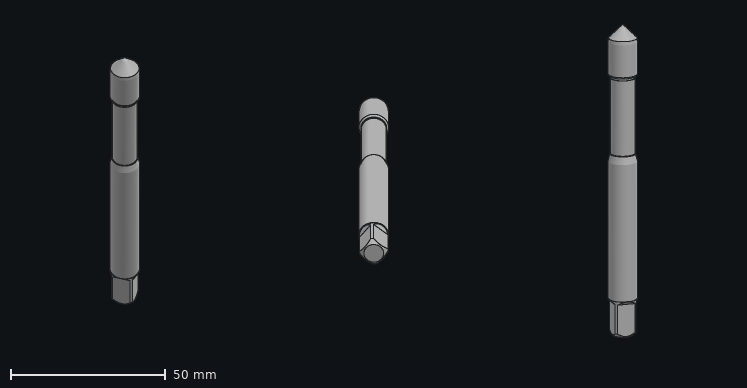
import cadquery as cq

total_length = 104.38
shank_diameter = 9.68

square_width = 7.2
square_corner_diameter = 9.29
square_length = 12.3
flat_length = 11.2
end_chamfer = 1.45

shank_top = 58.3
neck_bottom = 61.1
neck_top = 86.4
neck_diameter = 8.08
shoulder_diameter = 8.35
shoulder_chamfer_length = 0.2
collar_length = 0.65

head_diameter = 9.62
head_lead_length = 1.25
tip_diameter = 9.29

shank_radius = shank_diameter / 2
corner_radius = square_corner_diameter / 2
neck_radius = neck_diameter / 2
shoulder_radius = shoulder_diameter / 2
head_radius = head_diameter / 2
tip_radius = tip_diameter / 2
collar_top = neck_top + collar_length
head_bottom = collar_top + head_radius - shoulder_radius
tip_bottom = total_length - tip_radius


def turned_body():
    """Half profile, from the lower end to the point, revolved about the Z axis."""
    profile = [
        (0, 0),
        (corner_radius - end_chamfer, 0),
        (corner_radius, end_chamfer),
        (corner_radius, square_length),
        (shank_radius, square_length),
        (shank_radius, shank_top),
        (shoulder_radius, neck_bottom - shoulder_chamfer_length),
        (neck_radius, neck_bottom),
        (neck_radius, neck_top),
        (shoulder_radius, neck_top),
        (shoulder_radius, collar_top),
        (head_radius, head_bottom),
        (head_radius, tip_bottom - head_lead_length),
        (tip_radius, tip_bottom),
        (0, total_length),
    ]
    return cq.Workplane("XZ").polyline(profile).close().revolve(360, (0, 0, 0), (0, 1, 0))


def flat_cutter():
    """Cutter for the flat on the +X side, running out upwards at 45 degrees."""
    inner = square_width / 2
    outer = shank_diameter
    runout = outer - inner
    section = [
        (inner, 0),
        (outer, 0),
        (outer, flat_length + runout),
        (inner, flat_length),
    ]
    return cq.Workplane("XZ").polyline(section).close().extrude(shank_diameter, both=True)


def cut_square(body):
    """Cut four flats, a quarter turn apart."""
    for quarter in range(4):
        cutter = flat_cutter().rotate((0, 0, 0), (0, 0, 1), 90 * quarter)
        body = body.cut(cutter)
    return body


result = cut_square(turned_body())